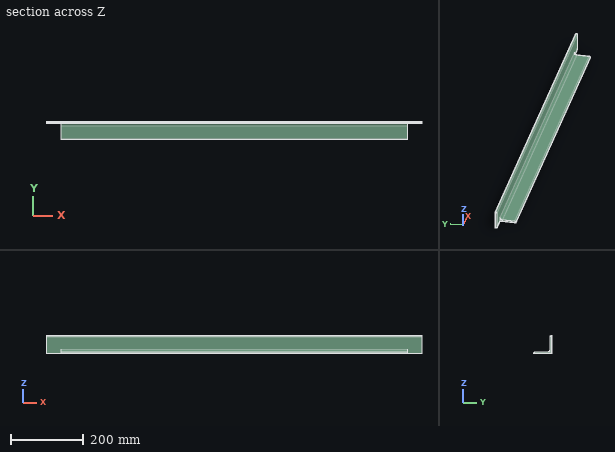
import cadquery as cq

length = 1040.0
leg = 50.0
thickness = 5.0
root_radius = 7.0
toe_radius = root_radius / 2
end_cutback = 40.0

back_y = leg / 2
wall_y = back_y - thickness
toe_y = back_y - leg
bottom_z = -leg / 2
floor_z = bottom_z + thickness
top_z = bottom_z + leg


def angle_bar():
    """Full-length rolled section with sharp edges."""
    return (
        cq.Workplane("YZ")
        .moveTo(back_y, bottom_z)
        .lineTo(back_y, top_z)
        .lineTo(wall_y, top_z)
        .lineTo(wall_y, floor_z)
        .lineTo(toe_y, floor_z)
        .lineTo(toe_y, bottom_z)
        .close()
        .extrude(length / 2, both=True)
    )


def round_inner_edges(bar):
    """Round the root between the legs and the inner edge of each toe."""
    bar = bar.edges(cq.NearestToPointSelector((0, wall_y, floor_z))).fillet(root_radius)
    bar = bar.edges(cq.NearestToPointSelector((0, wall_y, top_z))).fillet(toe_radius)
    return bar.edges(cq.NearestToPointSelector((0, toe_y, floor_z))).fillet(toe_radius)


def end_cutter(side):
    """Block in front of the upright leg at one end: side is -1 or +1 along X."""
    center_x = side * (length - end_cutback) / 2
    return (
        cq.Workplane("XY")
        .box(end_cutback, leg - thickness, leg)
        .translate((center_x, (toe_y + wall_y) / 2, 0))
    )


result = round_inner_edges(angle_bar())
for side in (-1, 1):
    result = result.cut(end_cutter(side))